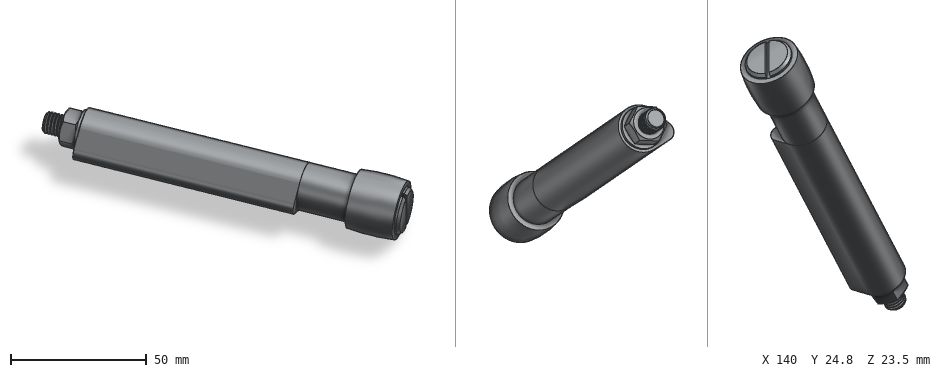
import cadquery as cq
import math

nut_start = 7.3
washer_start = 13.7
sleeve_start = 15.0
tube_start = 100.2
knob_start = 119.8
knob_end = 138.0
overall_length = 140.0

thread_diameter = 8.3
thread_root_diameter = 6.5
thread_pitch = 1.3
groove_mouth = 1.0
groove_overrun = 0.1
groove_phase = 160.0
tip_chamfer = 0.8
shaft_diameter = 14.0
head_diameter = 18.0
head_end_diameter = 16.0
head_chamfer_length = 1.1
slot_width = 1.5

nut_across_flats = 13.0
nut_face_diameter = 12.0
nut_chamfer_angle = 30.0
nut_tilt = 3.7
washer_diameter = 16.0

sleeve_diameter = 18.0
ridge_radius = 3.6
ridge_reach = 13.0
tube_diameter = sleeve_diameter
knob_end_diameter = 22.4
knob_middle_diameter = 23.5


def cylinder(diameter, start, end):
    """Cylinder on the X axis between two stations."""
    return cq.Workplane("YZ", origin=(start, 0, 0)).circle(diameter / 2).extrude(end - start)


def revolve_about_x(profile):
    """Turn a closed profile of X and radius about the X axis."""
    return profile.close().revolve(360, (0, 0, 0), (1, 0, 0))


def make_thread_groove():
    """Helical V-shaped cutter for the exposed part of the thread."""
    root_radius = thread_root_diameter / 2
    outer_radius = thread_diameter / 2 + groove_overrun
    flank_slope = groove_mouth / (thread_diameter - thread_root_diameter)
    outer_half_width = flank_slope * (outer_radius - root_radius)
    helix = cq.Wire.makeHelix(thread_pitch, nut_start + thread_pitch, root_radius)
    groove = (
        cq.Workplane("XZ")
        .moveTo(root_radius, 0)
        .lineTo(outer_radius, -outer_half_width)
        .lineTo(outer_radius, outer_half_width)
        .close()
        .sweep(cq.Workplane(obj=helix), isFrenet=True)
    )
    return (
        groove.rotate((0, 0, 0), (0, 1, 0), 90)
        .rotate((0, 0, 0), (1, 0, 0), groove_phase)
        .translate((-thread_pitch, 0, 0))
    )


def make_stud():
    """Threaded tip, plain shaft and slotted head in one piece."""
    thread = cylinder(thread_diameter, 0, sleeve_start).faces("<X").chamfer(tip_chamfer)
    thread = thread.cut(make_thread_groove())
    shaft = cylinder(shaft_diameter, sleeve_start, knob_start)
    head_radius = head_diameter / 2
    head = revolve_about_x(
        cq.Workplane("XY")
        .moveTo(knob_start, 0)
        .lineTo(knob_start, head_radius)
        .lineTo(overall_length - head_chamfer_length, head_radius)
        .lineTo(overall_length, head_end_diameter / 2)
        .lineTo(overall_length, 0)
    )
    slot = cq.Workplane("XY").box(
        overall_length - knob_end, slot_width, head_diameter, centered=(False, True, True)
    ).translate((knob_end, 0, 0))
    return thread.union(shaft).union(head.cut(slot))


def make_nut():
    """Hexagon nut with conical chamfers on both faces."""
    corner_diameter = nut_across_flats / math.cos(math.radians(30))
    face_radius = nut_face_diameter / 2
    corner_radius = corner_diameter / 2
    chamfer_length = (corner_radius - face_radius) * math.tan(math.radians(nut_chamfer_angle))
    hexagon = (
        cq.Workplane("YZ", origin=(nut_start, 0, 0))
        .polygon(6, corner_diameter)
        .extrude(washer_start - nut_start)
        .rotate((0, 0, 0), (1, 0, 0), -nut_tilt)
    )
    chamfer_envelope = revolve_about_x(
        cq.Workplane("XY")
        .moveTo(nut_start, 0)
        .lineTo(nut_start, face_radius)
        .lineTo(nut_start + chamfer_length, corner_radius)
        .lineTo(washer_start - chamfer_length, corner_radius)
        .lineTo(washer_start, face_radius)
        .lineTo(washer_start, 0)
    )
    bore = cylinder(thread_diameter, nut_start, washer_start)
    return hexagon.intersect(chamfer_envelope).cut(bore)


def make_washer():
    bore = cylinder(thread_diameter, washer_start, sleeve_start)
    return cylinder(washer_diameter, washer_start, sleeve_start).cut(bore)


def make_sleeve():
    """Round sleeve with a ridge on -Y, joined to it by two tangent flats."""
    sleeve_radius = sleeve_diameter / 2
    ridge_center = ridge_reach - ridge_radius
    flat_normal = math.acos((sleeve_radius - ridge_radius) / ridge_center)
    across = math.cos(flat_normal)
    upward = math.sin(flat_normal)
    barrel_y = -sleeve_radius * across
    barrel_z = sleeve_radius * upward
    ridge_y = -ridge_center - ridge_radius * across
    ridge_z = ridge_radius * upward
    outline = (
        cq.Workplane("YZ", origin=(sleeve_start, 0, 0))
        .moveTo(barrel_y, -barrel_z)
        .threePointArc((sleeve_radius, 0), (barrel_y, barrel_z))
        .lineTo(ridge_y, ridge_z)
        .threePointArc((-ridge_reach, 0), (ridge_y, -ridge_z))
        .close()
    )
    bore = cylinder(shaft_diameter, sleeve_start, tube_start)
    return outline.extrude(tube_start - sleeve_start).cut(bore)


def make_tube():
    bore = cylinder(shaft_diameter, tube_start, knob_start)
    return cylinder(tube_diameter, tube_start, knob_start).cut(bore)


def make_knob():
    """Barrel-shaped ring around the head of the stud."""
    bore_radius = head_diameter / 2
    end_radius = knob_end_diameter / 2
    middle = ((knob_start + knob_end) / 2, knob_middle_diameter / 2)
    return revolve_about_x(
        cq.Workplane("XY")
        .moveTo(knob_start, bore_radius)
        .lineTo(knob_start, end_radius)
        .threePointArc(middle, (knob_end, end_radius))
        .lineTo(knob_end, bore_radius)
    )


stud = make_stud()
nut = make_nut()
washer = make_washer()
sleeve = make_sleeve()
tube = make_tube()
knob = make_knob()

result = cq.Compound.makeCompound(
    [stud.val(), nut.val(), washer.val(), sleeve.val(), tube.val(), knob.val()]
)